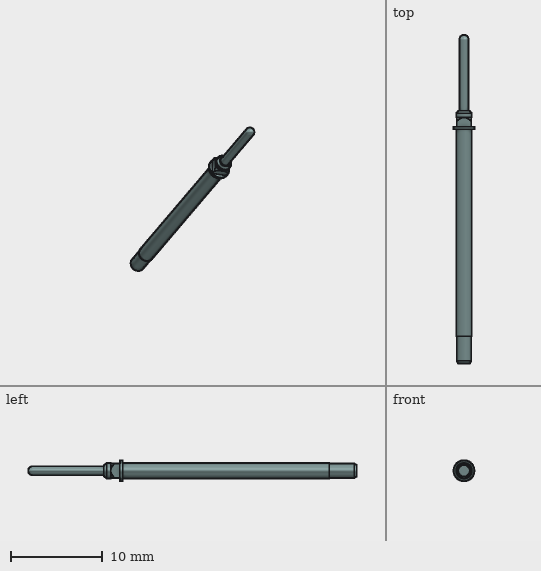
import math

import cadquery as cq

LENGTH = 35.8
REAR_LENGTH = 3.0
REAR_CHAMFER_LENGTH = 0.3
FLANGE_REAR = 25.5
FLANGE_THICKNESS = 0.3
NECK_LENGTH = 1.0
COLLAR_LENGTH = 0.75
COLLAR_CHAMFER_LENGTH = 0.3
CORNER_TAPER_LENGTH = 0.4

BODY_DIAMETER = 1.7
REAR_DIAMETER = 1.6
REAR_FACE_DIAMETER = 1.25
FLANGE_DIAMETER = 2.3
SQUARE_SIDE = 1.6
COLLAR_DIAMETER = 1.7
COLLAR_FRONT_DIAMETER = 1.2
PIN_DIAMETER = 1.0

REAR = -LENGTH / 2
FRONT = LENGTH / 2
FLANGE_FRONT = FLANGE_REAR + FLANGE_THICKNESS
COLLAR_REAR = FLANGE_FRONT + NECK_LENGTH
COLLAR_FRONT = COLLAR_REAR + COLLAR_LENGTH


def turned_section(start, length, diameter):
    """Cylinder running toward +Y from a station."""
    return (
        cq.Workplane("XZ", origin=(0, REAR + start, 0))
        .circle(diameter / 2)
        .extrude(-length)
    )


def make_rear_end():
    rear_end = turned_section(0, REAR_LENGTH, REAR_DIAMETER)
    inset = (REAR_DIAMETER - REAR_FACE_DIAMETER) / 2
    return rear_end.faces("<Y").chamfer(REAR_CHAMFER_LENGTH, inset)


def make_body():
    return turned_section(REAR_LENGTH, FLANGE_REAR - REAR_LENGTH, BODY_DIAMETER)


def make_flange():
    return turned_section(FLANGE_REAR, FLANGE_THICKNESS, FLANGE_DIAMETER)


def make_square_neck():
    """Square prism whose corners are turned down by a cone at the collar."""
    square = (
        cq.Workplane("XZ", origin=(0, REAR + FLANGE_FRONT, 0))
        .rect(SQUARE_SIDE, SQUARE_SIDE)
        .extrude(-NECK_LENGTH)
    )
    corner_diameter = SQUARE_SIDE * math.sqrt(2)
    taper = (corner_diameter - SQUARE_SIDE) / 2
    envelope = turned_section(FLANGE_FRONT, NECK_LENGTH, corner_diameter)
    return square.intersect(envelope.faces(">Y").chamfer(CORNER_TAPER_LENGTH, taper))


def make_collar():
    collar = turned_section(COLLAR_REAR, COLLAR_LENGTH, COLLAR_DIAMETER)
    inset = (COLLAR_DIAMETER - COLLAR_FRONT_DIAMETER) / 2
    return collar.faces(">Y").chamfer(COLLAR_CHAMFER_LENGTH, inset)


def make_pin():
    """Slender contact pin with a hemispherical tip."""
    radius = PIN_DIAMETER / 2
    shoulder = FRONT - radius
    tip_diagonal = radius * math.sqrt(0.5)
    return (
        cq.Workplane("XY")
        .moveTo(0, REAR + COLLAR_FRONT)
        .lineTo(radius, REAR + COLLAR_FRONT)
        .lineTo(radius, shoulder)
        .threePointArc((tip_diagonal, shoulder + tip_diagonal), (0, FRONT))
        .close()
        .revolve(360, (0, 0, 0), (0, 1, 0))
    )


result = (
    make_body()
    .union(make_rear_end())
    .union(make_flange())
    .union(make_square_neck())
    .union(make_collar())
    .union(make_pin())
)